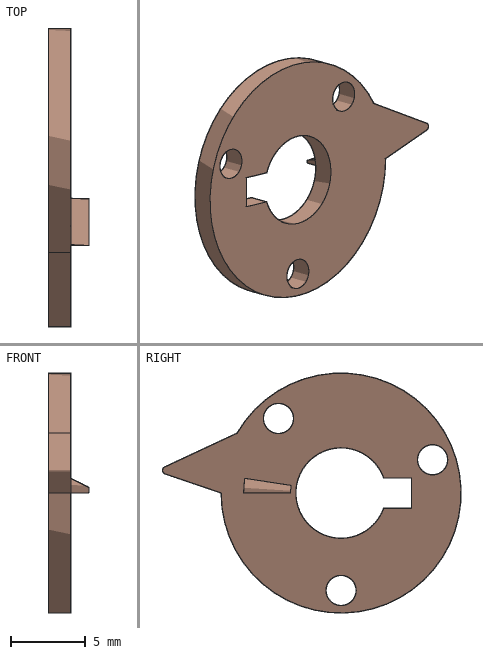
import cadquery as cq
import math

disc_radius = 8.0
thickness = 1.5
bore_radius = 3.0

key_width = 2.0
key_reach = 4.68

hole_diameter = 2.0
hole_circle_radius = 6.5
hole_angles = (20, 130, 270)

pointer_root_angle = 150
tip_round_radius = 0.25
tip_center_y = disc_radius - 19.91 + tip_round_radius
tip_center_z = 1.51

catch_height = 1.21
catch_inner_radius = 3.36
catch_outer_radius = 6.5
catch_root_angle = 8.7
catch_tip_angle = 3.4
catch_edge_round = 0.08
section_margin = 0.4


def on_circle(radius, degrees):
    angle = math.radians(degrees)
    return (radius * math.cos(angle), radius * math.sin(angle))


def tip_tangent(root, side):
    """Point where a line from root touches the tip circle, on the side given by +1 or -1."""
    dy = root[0] - tip_center_y
    dz = root[1] - tip_center_z
    toward_root = math.atan2(dz, dy)
    opening = math.acos(tip_round_radius / math.hypot(dy, dz))
    angle = toward_root + side * opening
    return (
        tip_center_y + tip_round_radius * math.cos(angle),
        tip_center_z + tip_round_radius * math.sin(angle),
    )


def make_pointer():
    upper_root = on_circle(disc_radius, pointer_root_angle)
    lower_root = (-disc_radius, 0)
    return (
        cq.Workplane("YZ")
        .moveTo(0, 0)
        .lineTo(*upper_root)
        .lineTo(*tip_tangent(upper_root, 1))
        .threePointArc((tip_center_y - tip_round_radius, tip_center_z), tip_tangent(lower_root, -1))
        .lineTo(*lower_root)
        .close()
        .extrude(thickness)
    )


def sector_section(workplane, degrees):
    """Four-sided radial section, reaching past the catch's inner and outer radii."""
    inner_y = catch_inner_radius - section_margin
    outer_y = catch_outer_radius + section_margin
    slope = math.tan(math.radians(degrees))
    return workplane.polyline(
        [(-inner_y, 0), (-outer_y, 0), (-outer_y, outer_y * slope), (-inner_y, inner_y * slope)]
    ).close()


def make_catch():
    root = sector_section(cq.Workplane("YZ", origin=(thickness, 0, 0)), catch_root_angle)
    wedge = sector_section(root.workplane(offset=catch_height), catch_tip_angle).loft(ruled=True)
    ring = (
        cq.Workplane("YZ", origin=(thickness, 0, 0))
        .circle(catch_outer_radius)
        .circle(catch_inner_radius)
        .extrude(catch_height)
    )
    end_edges = wedge.faces(">X").edges("not |Z")
    return end_edges.fillet(catch_edge_round).intersect(ring)


disc = cq.Workplane("YZ").circle(disc_radius).extrude(thickness)
bore = cq.Workplane("YZ").circle(bore_radius).extrude(thickness)
keyway = (
    cq.Workplane("YZ")
    .center(key_reach / 2, 0)
    .rect(key_reach, key_width)
    .extrude(thickness)
)
holes = (
    cq.Workplane("YZ")
    .pushPoints([on_circle(hole_circle_radius, angle) for angle in hole_angles])
    .circle(hole_diameter / 2)
    .extrude(thickness)
)

result = disc.union(make_pointer()).union(make_catch()).cut(bore).cut(keyway).cut(holes)